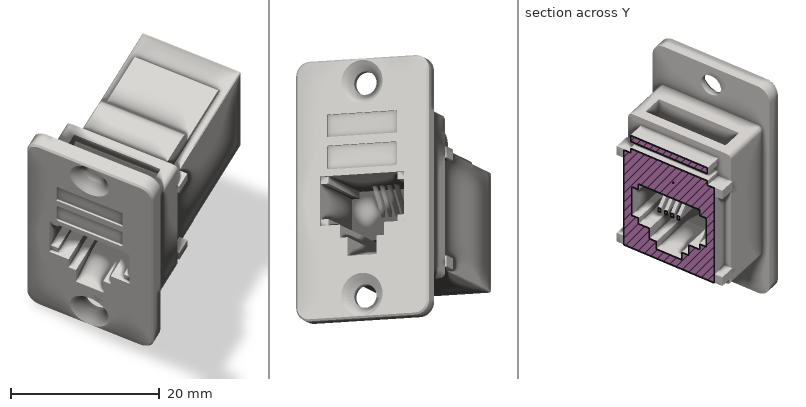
import cadquery as cq

TOTAL_DEPTH = 30.7

PLATE_WIDTH = 19.0
PLATE_HEIGHT = 35.5
PLATE_THICKNESS = 2.27
PLATE_CORNER_RADIUS = 1.95
PLATE_FRONT_CHAMFER = 0.25
SCREW_OFFSET = 14.55
SCREW_DIAMETER = 3.2
COUNTERSINK_DIAMETER = 5.9
COUNTERSINK_ANGLE = 90.0

HOUSING_WIDTH = 16.7
HOUSING_HEIGHT = 22.3
HOUSING_REAR = 9.85
HOUSING_EDGE_RADIUS = 0.7

BODY_WIDTH = 14.77
BODY_TOP = 6.8
BODY_BOTTOM = -9.6
BODY_CHAMFER = 0.15
BODY_CHAMFER_START = 16.55

TAB_SPAN = 17.18
TAB_REAR = 12.25
TAB_HEIGHT = 1.5

LATCH_WIDTH = 12.55
LATCH_BASE_TOP = 7.55
LATCH_TOP = 9.8
LATCH_BASE_REAR = 26.75
LATCH_BASE_SLOPE = 0.65
LATCH_BUMP_REAR = 16.8
LATCH_BUMP_RADIUS = 1.75
LATCH_SLOT_REAR = 12.35
LATCH_SLOT_TOP = 8.7

WINDOW_WIDTH = 13.0
WINDOW_FRONT = 5.15
WINDOW_REAR = 8.38
CATCH_FRONT = 5.68
CATCH_CREST = 8.15
CATCH_NOSE_HEIGHT = 0.32

PORT_WIDTH = 12.07
PORT_TOP = 1.9
PORT_BOTTOM = -4.83
PORT_DEPTH = 12.78
UPPER_NOTCH_WIDTH = 6.32
UPPER_NOTCH_BOTTOM = -6.6
LOWER_NOTCH_WIDTH = 4.12
LOWER_NOTCH_BOTTOM = -7.88
RAMP_FRONT_BOTTOM = -9.15
RAMP_START = 0.18
RAMP_DEPTH = 5.0
RAIL_WIDTH = 1.1
RAIL_HEIGHT = 0.95
RAIL_START = 0.43

CONTACT_COUNT = 4
CONTACT_PITCH = 1.03
CONTACT_WIDTH = 0.5
CONTACT_TOP_THICKNESS = 0.7
CONTACT_BOTTOM = -1.78

LABEL_WIDTH = 9.98
LABEL_DEPTH = 0.3
UPPER_LABEL_TOP = 10.33
UPPER_LABEL_BOTTOM = 7.28
LOWER_LABEL_TOP = 6.07
LOWER_LABEL_BOTTOM = 2.85
LOWER_LABEL_CORNER_RADIUS = 0.25


def block(width, y_front, y_rear, z_bottom, z_top, x_center=0.0):
    """Box centred on x_center, spanning the given Y and Z ranges."""
    corner = (x_center - width / 2, y_front, z_bottom)
    solid = cq.Workplane("XY").box(width, y_rear - y_front, z_top - z_bottom, centered=False)
    return solid.translate(corner)


def side_profile(points, width, x_center=0.0):
    """Closed outline of (Y, Z) points extruded along X about x_center."""
    outline = cq.Workplane("YZ").polyline(points).close()
    return outline.extrude(width / 2, both=True).translate((x_center, 0, 0))


def mounting_plate():
    plate = block(PLATE_WIDTH, 0, PLATE_THICKNESS, -PLATE_HEIGHT / 2, PLATE_HEIGHT / 2)
    plate = plate.edges("|Y").fillet(PLATE_CORNER_RADIUS)
    plate = plate.faces("<Y").chamfer(PLATE_FRONT_CHAMFER)
    screw_points = [(0, SCREW_OFFSET), (0, -SCREW_OFFSET)]
    return (
        cq.Workplane("XZ")
        .add(plate)
        .pushPoints(screw_points)
        .cskHole(SCREW_DIAMETER, COUNTERSINK_DIAMETER, COUNTERSINK_ANGLE)
    )


def housing():
    half_height = HOUSING_HEIGHT / 2
    shell = block(HOUSING_WIDTH, PLATE_THICKNESS, HOUSING_REAR, -half_height, half_height)
    shell = shell.edges("|Y").fillet(HOUSING_EDGE_RADIUS)
    window = block(WINDOW_WIDTH, WINDOW_FRONT, WINDOW_REAR, LATCH_BASE_TOP, half_height)
    catch = side_profile(
        [
            (CATCH_FRONT, LATCH_BASE_TOP),
            (CATCH_FRONT, LATCH_BASE_TOP + CATCH_NOSE_HEIGHT),
            (CATCH_CREST, LATCH_TOP),
            (WINDOW_REAR, LATCH_TOP),
            (WINDOW_REAR, LATCH_BASE_TOP),
        ],
        LATCH_WIDTH,
    )
    return shell.cut(window).union(catch)


def jack_body():
    front = block(BODY_WIDTH, HOUSING_REAR, BODY_CHAMFER_START, BODY_BOTTOM, BODY_TOP)
    rear = block(BODY_WIDTH, BODY_CHAMFER_START, TOTAL_DEPTH, BODY_BOTTOM, BODY_TOP)
    return front.union(rear.edges("|Y").chamfer(BODY_CHAMFER))


def side_tabs():
    top_tab = block(TAB_SPAN, HOUSING_REAR, TAB_REAR, BODY_TOP - TAB_HEIGHT, BODY_TOP)
    bottom_tab = block(TAB_SPAN, HOUSING_REAR, TAB_REAR, BODY_BOTTOM, BODY_BOTTOM + TAB_HEIGHT)
    return top_tab.union(bottom_tab)


def latch():
    base = side_profile(
        [
            (HOUSING_REAR, BODY_TOP),
            (LATCH_BASE_REAR, BODY_TOP),
            (LATCH_BASE_REAR - LATCH_BASE_SLOPE, LATCH_BASE_TOP),
            (HOUSING_REAR, LATCH_BASE_TOP),
        ],
        LATCH_WIDTH,
    )
    bump = block(LATCH_WIDTH, HOUSING_REAR, LATCH_BUMP_REAR, LATCH_BASE_TOP, LATCH_TOP)
    bump = bump.edges(">Y and >Z").fillet(LATCH_BUMP_RADIUS)
    slot = block(LATCH_WIDTH, HOUSING_REAR, LATCH_SLOT_REAR, LATCH_BASE_TOP, LATCH_SLOT_TOP)
    return base.union(bump.cut(slot))


def jack_opening():
    """Plug cavity with a stepped notch below it that runs out of the back."""
    cavity = block(PORT_WIDTH, 0, PORT_DEPTH, PORT_BOTTOM, PORT_TOP)
    upper_notch = block(UPPER_NOTCH_WIDTH, 0, TOTAL_DEPTH, UPPER_NOTCH_BOTTOM, PORT_BOTTOM)
    lower_notch = block(LOWER_NOTCH_WIDTH, 0, TOTAL_DEPTH, LOWER_NOTCH_BOTTOM, UPPER_NOTCH_BOTTOM)
    ramp = side_profile(
        [
            (0, RAMP_FRONT_BOTTOM),
            (RAMP_START, RAMP_FRONT_BOTTOM),
            (RAMP_DEPTH, LOWER_NOTCH_BOTTOM),
            (0, LOWER_NOTCH_BOTTOM),
        ],
        LOWER_NOTCH_WIDTH,
    )
    return cavity.union(upper_notch).union(lower_notch).union(ramp)


def corner_rails():
    rails = cq.Workplane("XY")
    rail_center = (PORT_WIDTH - RAIL_WIDTH) / 2
    for x_center in (-rail_center, rail_center):
        for z_bottom in (PORT_BOTTOM, PORT_TOP - RAIL_HEIGHT):
            z_top = z_bottom + RAIL_HEIGHT
            rails = rails.union(block(RAIL_WIDTH, RAIL_START, PORT_DEPTH, z_bottom, z_top, x_center))
    return rails


def contacts():
    """Contact strips whose undersides slope at 45 degrees."""
    drop = PORT_TOP - CONTACT_BOTTOM
    outline = [
        (PORT_DEPTH - drop, PORT_TOP),
        (PORT_DEPTH - drop + CONTACT_TOP_THICKNESS, PORT_TOP),
        (PORT_DEPTH, CONTACT_BOTTOM + CONTACT_TOP_THICKNESS),
        (PORT_DEPTH, CONTACT_BOTTOM),
    ]
    strips = cq.Workplane("XY")
    for index in range(CONTACT_COUNT):
        x_center = (index - (CONTACT_COUNT - 1) / 2) * CONTACT_PITCH
        strips = strips.union(side_profile(outline, CONTACT_WIDTH, x_center))
    return strips


def label_recesses():
    upper = block(LABEL_WIDTH, 0, LABEL_DEPTH, UPPER_LABEL_BOTTOM, UPPER_LABEL_TOP)
    lower = block(LABEL_WIDTH, 0, LABEL_DEPTH, LOWER_LABEL_BOTTOM, LOWER_LABEL_TOP)
    return upper.union(lower.edges("|Y").fillet(LOWER_LABEL_CORNER_RADIUS))


shell = mounting_plate().union(housing()).union(jack_body()).union(side_tabs()).union(latch())
hollowed = shell.cut(jack_opening()).cut(label_recesses())
result = hollowed.union(corner_rails()).union(contacts())